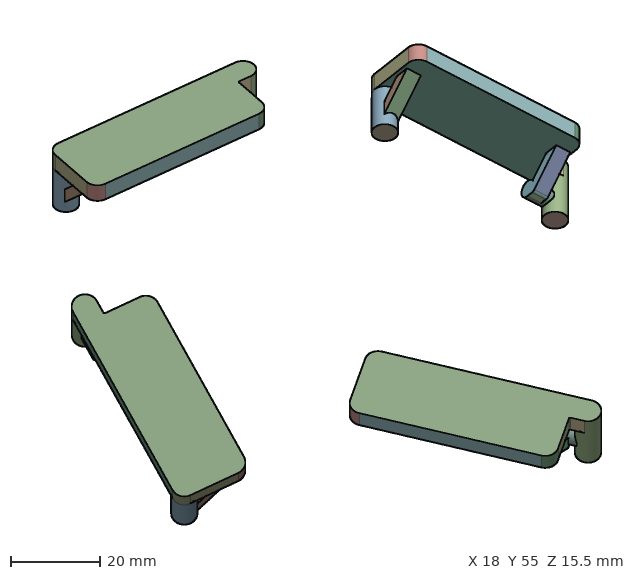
import cadquery as cq
import math

length = 55.0
width = 18.0
height = 15.5
plate_thickness = 4.5
shoulder_y = 48.5
shoulder_fillet = 0.3

leg_diameter = 6.0
leg_radius = leg_diameter / 2
leg_height = height - plate_thickness
leg_x = leg_radius
front_leg_y = leg_radius
rear_leg_y = length - leg_radius

link_diameter = 4.35
link_radius = link_diameter / 2
link_x = 3.1
link_z = 5.0
link_bottom = link_z - link_radius

brace_width = 4.0
brace_thickness = 2.6
brace_reach = 13.35
brace_foot_fillet = 1.05
front_brace_y = front_leg_y - brace_width / 2
rear_brace_y = 44.0


def make_plate():
    tab_width = leg_diameter
    plate = (
        cq.Workplane("XY", origin=(0, 0, leg_height))
        .lineTo(width, 0)
        .lineTo(width, shoulder_y)
        .lineTo(tab_width, shoulder_y)
        .lineTo(tab_width, rear_leg_y)
        .threePointArc((leg_x, length), (0, rear_leg_y))
        .close()
        .extrude(plate_thickness)
    )
    rounded_corners = [
        (0, 0, leg_radius),
        (width, 0, leg_radius),
        (width, shoulder_y, leg_radius),
        (tab_width, shoulder_y, shoulder_fillet),
    ]
    for x, y, radius in rounded_corners:
        corner = cq.selectors.NearestToPointSelector((x, y, leg_height + plate_thickness / 2))
        plate = plate.edges("|Z").edges(corner).fillet(radius)
    return plate


def make_leg(y):
    return cq.Workplane("XY").center(leg_x, y).circle(leg_radius).extrude(leg_height)


def make_brace(y):
    """Strut from the foot at link_x up to the plate, running from y towards +Y."""
    inner_reach = brace_reach - brace_thickness * math.sqrt(2)
    foot_corner_x = brace_reach - (leg_height - link_bottom)
    foot_top = leg_height - (inner_reach - link_x)
    profile = [
        (link_x, link_bottom),
        (foot_corner_x, link_bottom),
        (brace_reach, leg_height),
        (inner_reach, leg_height),
        (link_x, foot_top),
    ]
    brace = cq.Workplane("XZ", origin=(0, y, 0)).polyline(profile).close().extrude(-brace_width)
    foot_corner = cq.selectors.NearestToPointSelector((foot_corner_x, y + brace_width / 2, link_bottom))
    return brace.edges("|Y").edges(foot_corner).fillet(brace_foot_fillet)


def make_link():
    """Bar along Y from the face of the rear brace to the axis of the rear leg."""
    return (
        cq.Workplane("XZ", origin=(0, rear_brace_y, 0))
        .center(link_x, link_z)
        .circle(link_radius)
        .extrude(rear_brace_y - rear_leg_y)
    )


linked_brace = make_brace(rear_brace_y).union(make_link())

result = (
    make_plate()
    .union(make_leg(front_leg_y))
    .union(make_leg(rear_leg_y))
    .union(make_brace(front_brace_y))
    .union(linked_brace)
)